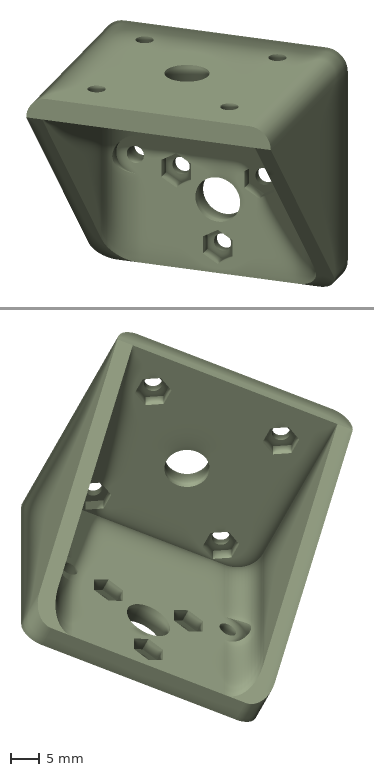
import cadquery as cq
import math

width = 46.0
depth = 40.0
height = 44.0

plate_thickness = 4.0
side_thickness = 3.0
outer_radius = 4.0
inner_radius = 5.0

nut_across_flats = 5.6
nut_across_corners = nut_across_flats / math.cos(math.radians(30))
nut_pocket_depth = 2.5

screw_diameter = 3.2
top_bore_diameter = 8.0
top_hole_spacing = 25.0

wall_bore_diameter = 8.4
wall_bore_z = 14.0
nut_circle_radius = 9.0
nut_angles = (30, 150, 270)
counterbore_diameter = 7.18
counterbore_x = 15.5
counterbore_rise = 6.5

wall_inner_y = depth - plate_thickness
ceiling_z = height - plate_thickness


def make_body():
    """Block with rounded edges along Y, cut off by the sloping front."""
    block = (
        cq.Workplane("XY")
        .box(width, depth, height, centered=(True, False, False))
        .edges("|Y")
        .fillet(outer_radius)
    )
    profile = (
        cq.Workplane("YZ")
        .polyline([
            (0, height),
            (0, ceiling_z),
            (wall_inner_y, 0),
            (depth, 0),
            (depth, height),
        ])
        .close()
        .extrude(width / 2, both=True)
    )
    return block.intersect(profile)


def make_cavity():
    """Space between the side walls, below the top plate."""
    return (
        cq.Workplane("XY")
        .box(width - 2 * side_thickness, wall_inner_y, ceiling_z, centered=(True, False, False))
        .edges("|Z and >Y")
        .fillet(inner_radius)
    )


def wall_plane(y):
    """Workplane parallel to the mounting wall, drawn in X and Z, facing +Y."""
    return cq.Workplane(cq.Plane(origin=(0, y, 0), xDir=(1, 0, 0), normal=(0, 1, 0)))


def wall_points(points):
    """Convert (X, Z) places to the local coordinates of wall_plane."""
    return [(x, -z) for x, z in points]


def make_nut_pocket(place):
    """Hexagonal pocket at a workplane origin, with corners along the local y axis."""
    return (
        place.transformed(rotate=(0, 0, 90))
        .polygon(6, nut_across_corners)
        .extrude(nut_pocket_depth)
    )


def cut_top_holes(body):
    drill = cq.Workplane("XY", origin=(0, depth / 2, ceiling_z))
    screws = (
        drill.rect(top_hole_spacing, top_hole_spacing, forConstruction=True)
        .vertices()
        .circle(screw_diameter / 2)
        .extrude(plate_thickness)
    )
    bore = drill.circle(top_bore_diameter / 2).extrude(plate_thickness)
    body = body.cut(screws).cut(bore)

    for x_side in (-1, 1):
        for y_side in (-1, 1):
            place = drill.center(x_side * top_hole_spacing / 2, y_side * top_hole_spacing / 2)
            body = body.cut(make_nut_pocket(place))
    return body


def cut_wall_holes(body):
    nut_places = [
        (
            nut_circle_radius * math.cos(math.radians(angle)),
            wall_bore_z + nut_circle_radius * math.sin(math.radians(angle)),
        )
        for angle in nut_angles
    ]
    counterbore_places = [
        (side * counterbore_x, wall_bore_z + counterbore_rise) for side in (-1, 1)
    ]

    start_y = wall_inner_y - inner_radius
    through = depth - start_y
    start = wall_plane(start_y)
    bore = start.pushPoints(wall_points([(0, wall_bore_z)])).circle(wall_bore_diameter / 2).extrude(through)
    screws = (
        start.pushPoints(wall_points(nut_places + counterbore_places))
        .circle(screw_diameter / 2)
        .extrude(through)
    )
    counterbores = (
        start.pushPoints(wall_points(counterbore_places))
        .circle(counterbore_diameter / 2)
        .extrude(inner_radius)
    )
    body = body.cut(bore).cut(screws).cut(counterbores)

    for x, z in nut_places:
        body = body.cut(make_nut_pocket(wall_plane(wall_inner_y).center(x, -z)))
    return body


bracket = make_body().cut(make_cavity())
bracket = cut_top_holes(bracket)
result = cut_wall_holes(bracket)